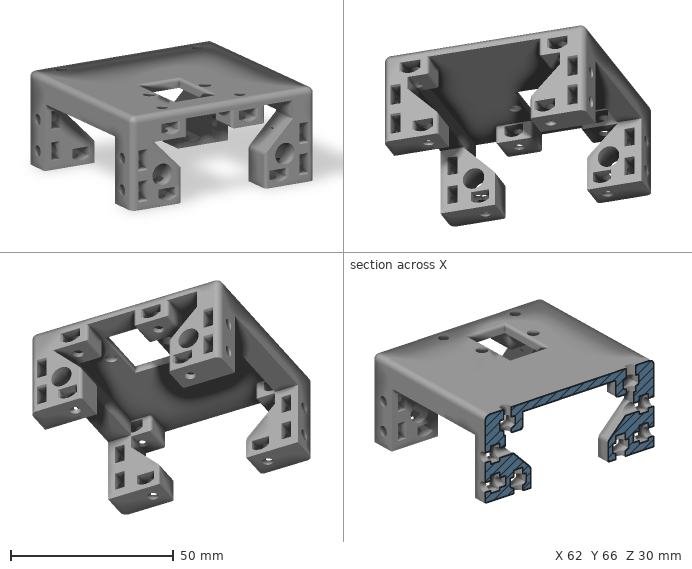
import cadquery as cq

WIDTH = 62.0
LENGTH = 66.0
HEIGHT = 30.0
OUTER_FILLET = 2.0

PLATE_THICKNESS = 3.05
WALL_THICKNESS = 8.0
WALL_BOTTOM = 21.6
LEG_WIDTH = 10.0
LEG_LENGTH = 17.95
LEG_SIDE_FILLET = 1.0
LEG_SLOPE_FILLET = 1.8

WALL_FACE = LENGTH / 2 - WALL_THICKNESS
LEG_X = (WIDTH - LEG_WIDTH) / 2

PAD_BOTTOM = 21.1
PAD_LENGTH = 12.1
PAD_FILLET = 1.0

SLOPE_TOP = {-1: 17.1, 1: PAD_BOTTOM}

SCREW_DIAMETER = 3.5
TOP_HOLES = [(-24.75, 24.2), (-25.9, -24.0), (25.9, 9.0), (25.9, -19.0)]
END_HOLE_X = 25.15
END_HOLE_LOW_Z = 5.4
END_HOLE_HIGH_Z = 15.6
END_HOLE_DEPTH = 12.0
SHORT_END_HOLE_DEPTH = 8.0
FOOT_HOLE_X = 25.9
FOOT_HOLE_Y = 20.0
FOOT_HOLE_DEPTH = 8.0

NUT_WIDTH = 6.0
FLARE_WIDTH = 6.7
FLARE_DEPTH = 0.7
FLAT_SLOT_SIDE = 3.0
FLAT_SLOT_SAG = 1.05
TOP_SLOT_CEILING = 26.45
FOOT_SLOT_CEILING = 5.6
END_SLOT_THICKNESS = 3.3
END_SLOT_Y = 29.0
END_SLOT_LOW_Z = 5.9
END_SLOT_HIGH_Z = 15.85

CROSS_HOLE_DIAMETER = 7.0
CROSS_HOLE_Y = 22.1
CROSS_HOLE_Z = 10.2

WINDOW_X = 11.55
WINDOW_Y = -4.95
WINDOW_SIZE = (20.8, 13.9)
WINDOW_RIM_FILLET = 1.0
WINDOW_HOLE_DIAMETER = 4.0
WINDOW_HOLE_SPACING = 20.0

SIDES = (-1, 1)


def box(x_range, y_range, z_range):
    """Box between two limits on each axis."""
    size = [max(r) - min(r) for r in (x_range, y_range, z_range)]
    corner = (min(x_range), min(y_range), min(z_range))
    return cq.Workplane("XY").box(*size, centered=False).translate(corner)


def cylinder(diameter, start, direction, length):
    """Round bar from a start point along a direction."""
    bar = cq.Solid.makeCylinder(diameter / 2, length, cq.Vector(*start), cq.Vector(*direction))
    return cq.Workplane(bar)


def leg_x_range(x_side):
    return (x_side * WIDTH / 2, x_side * (WIDTH / 2 - LEG_WIDTH))


def outer_frame():
    """Rounded block hollowed to a plate, two end walls and the leg roots."""
    block = cq.Workplane("XY").box(WIDTH, LENGTH, HEIGHT, centered=(True, True, False))
    block = block.edges("|Z or >Z").fillet(OUTER_FILLET)
    tunnel = box((-WIDTH, WIDTH), (-WALL_FACE, WALL_FACE), (0, HEIGHT - PLATE_THICKNESS))
    inner_half_width = WIDTH / 2 - LEG_WIDTH
    archway = box((-inner_half_width, inner_half_width), (-LENGTH, LENGTH), (0, WALL_BOTTOM))
    return block.cut(tunnel).cut(archway)


def rounded_tip_block(x_side, y_side):
    """Upright block as large as a leg foot, its outer tip edge rounded."""
    tip = LENGTH / 2 - LEG_LENGTH
    block = box((-LEG_WIDTH / 2, LEG_WIDTH / 2), (y_side * tip, y_side * LENGTH / 2), (0, HEIGHT))
    tip_edges = block.faces("<Y" if y_side > 0 else ">Y")
    return tip_edges.edges(">X" if x_side > 0 else "<X").fillet(LEG_SIDE_FILLET)


def leg_foot(x_side, y_side):
    """Wedge reaching inward from the end wall, with a 45 degree sloping top."""
    tip = LENGTH / 2 - LEG_LENGTH
    root = WALL_FACE + WALL_THICKNESS / 2
    top = SLOPE_TOP[x_side]
    tip_height = top - (WALL_FACE - tip)
    outline = [(tip, 0), (root, 0), (root, top), (WALL_FACE, top), (tip, tip_height)]
    foot = (
        cq.Workplane("YZ")
        .polyline([(y_side * y, z) for y, z in outline])
        .close()
        .extrude(LEG_WIDTH / 2, both=True)
    )
    tip_face = "<Y" if y_side > 0 else ">Y"
    foot = foot.faces(tip_face).edges(">Z").fillet(LEG_SLOPE_FILLET)
    foot = foot.intersect(rounded_tip_block(x_side, y_side))
    return foot.translate((x_side * LEG_X, 0, 0))


def pad(hole_x, hole_y):
    """Boss around a top screw hole, run into the end wall where it touches one."""
    x_side = 1 if hole_x > 0 else -1
    y_side = 1 if hole_y > 0 else -1
    inner_end = abs(hole_y) - PAD_LENGTH / 2
    outer_end = abs(hole_y) + PAD_LENGTH / 2
    if outer_end > WALL_FACE - PAD_FILLET:
        outer_end = WALL_FACE + WALL_THICKNESS / 2
    body = box(
        leg_x_range(x_side),
        (y_side * inner_end, y_side * outer_end),
        (PAD_BOTTOM, HEIGHT - PLATE_THICKNESS),
    )
    return body.edges("|Z or (|X and <Z)").fillet(PAD_FILLET)


def slot_flare(x_side, plane, across):
    """Trapezoid prism centred on the slot line, widening toward the outer side of the part.

    The trapezoid lies in the given plane, whose first axis is X; its thickness is "across".
    """
    outer_x = x_side * WIDTH / 2
    inner_x = x_side * (WIDTH / 2 - FLARE_DEPTH)
    outline = [
        (inner_x, -NUT_WIDTH / 2),
        (outer_x, -FLARE_WIDTH / 2),
        (outer_x, FLARE_WIDTH / 2),
        (inner_x, NUT_WIDTH / 2),
    ]
    return cq.Workplane(plane).polyline(outline).close().extrude(across / 2, both=True)


def curved_nut_slot(x_side, y, ceiling):
    """Slot along X for a nut lying flat: flat ceiling, upright sides and a sagging floor."""
    half_width = NUT_WIDTH / 2
    spring = ceiling - FLAT_SLOT_SIDE
    slot = (
        cq.Workplane("YZ")
        .moveTo(y - half_width, spring)
        .lineTo(y - half_width, ceiling)
        .lineTo(y + half_width, ceiling)
        .lineTo(y + half_width, spring)
        .threePointArc((y, spring - FLAT_SLOT_SAG), (y - half_width, spring))
        .close()
        .extrude(LEG_WIDTH / 2, both=True)
        .translate((x_side * LEG_X, 0, 0))
    )
    flare = slot_flare(x_side, "XY", FLAT_SLOT_SIDE)
    return slot.union(flare.translate((0, y, ceiling - FLAT_SLOT_SIDE / 2)))


def upright_nut_slot(x_side, y_side, z):
    """Rectangular slot along X for a nut on an end screw."""
    slot = cq.Workplane("XY").box(LEG_WIDTH, END_SLOT_THICKNESS, NUT_WIDTH)
    flare = slot_flare(x_side, "XZ", END_SLOT_THICKNESS)
    return slot.translate((x_side * LEG_X, 0, 0)).union(flare).translate((0, y_side * END_SLOT_Y, z))


def end_hole(x_side, y_side, z, depth):
    """Blind screw hole entering from an end wall."""
    start = (x_side * END_HOLE_X, y_side * LENGTH / 2, z)
    return cylinder(SCREW_DIAMETER, start, (0, -y_side, 0), depth)


def leg_cuts(x_side, y_side):
    """All screw holes and nut slots of one corner leg."""
    low_depth = END_HOLE_DEPTH if x_side > 0 else SHORT_END_HOLE_DEPTH
    foot_y = y_side * FOOT_HOLE_Y
    foot_start = (x_side * FOOT_HOLE_X, foot_y, 0)
    cuts = [
        end_hole(x_side, y_side, END_HOLE_LOW_Z, low_depth),
        end_hole(x_side, y_side, END_HOLE_HIGH_Z, END_HOLE_DEPTH),
        upright_nut_slot(x_side, y_side, END_SLOT_LOW_Z),
        upright_nut_slot(x_side, y_side, END_SLOT_HIGH_Z),
        cylinder(SCREW_DIAMETER, foot_start, (0, 0, 1), FOOT_HOLE_DEPTH),
        curved_nut_slot(x_side, foot_y, FOOT_SLOT_CEILING),
    ]
    if x_side > 0:
        cross_start = (WIDTH / 2 - LEG_WIDTH, y_side * CROSS_HOLE_Y, CROSS_HOLE_Z)
        cuts.append(cylinder(CROSS_HOLE_DIAMETER, cross_start, (1, 0, 0), LEG_WIDTH))
    return cuts


def cut_window(body):
    """Rectangular window with a rounded rim and a fixing hole on each long side."""
    plate_bottom = HEIGHT - PLATE_THICKNESS
    centre = (WINDOW_X, WINDOW_Y)
    window = cq.Workplane("XY").workplane(offset=plate_bottom).center(*centre)
    body = body.cut(window.rect(*WINDOW_SIZE).extrude(PLATE_THICKNESS))
    reach_x = WINDOW_SIZE[0] / 2 + WINDOW_RIM_FILLET
    reach_y = WINDOW_SIZE[1] / 2 + WINDOW_RIM_FILLET
    rim_zone = cq.selectors.BoxSelector(
        (WINDOW_X - reach_x, WINDOW_Y - reach_y, HEIGHT - WINDOW_RIM_FILLET),
        (WINDOW_X + reach_x, WINDOW_Y + reach_y, HEIGHT + WINDOW_RIM_FILLET),
    )
    body = body.edges(rim_zone).fillet(WINDOW_RIM_FILLET)
    for side in SIDES:
        start = (WINDOW_X, WINDOW_Y + side * WINDOW_HOLE_SPACING / 2, plate_bottom)
        body = body.cut(cylinder(WINDOW_HOLE_DIAMETER, start, (0, 0, 1), PLATE_THICKNESS))
    return body


result = cut_window(outer_frame())

for x_side in SIDES:
    for y_side in SIDES:
        result = result.union(leg_foot(x_side, y_side))

for hole_x, hole_y in TOP_HOLES:
    result = result.union(pad(hole_x, hole_y))

for x_side in SIDES:
    for y_side in SIDES:
        for cutter in leg_cuts(x_side, y_side):
            result = result.cut(cutter)

for hole_x, hole_y in TOP_HOLES:
    hole_side = 1 if hole_x > 0 else -1
    hole_start = (hole_x, hole_y, PAD_BOTTOM)
    result = result.cut(cylinder(SCREW_DIAMETER, hole_start, (0, 0, 1), HEIGHT - PAD_BOTTOM))
    result = result.cut(curved_nut_slot(hole_side, hole_y, TOP_SLOT_CEILING))